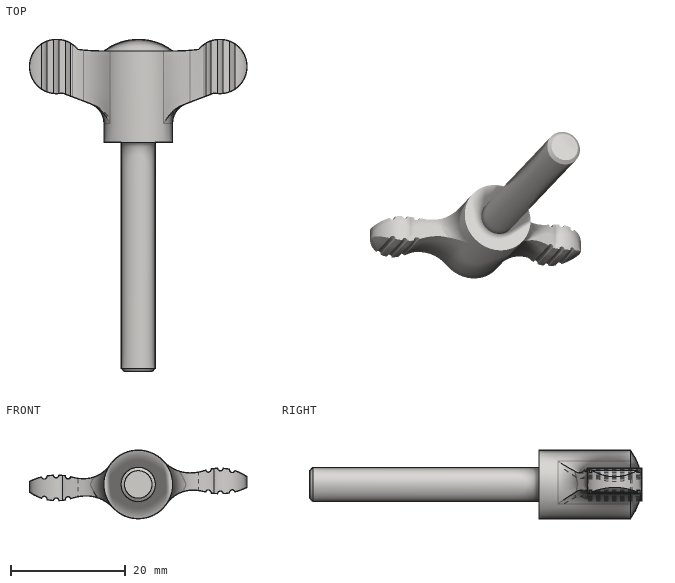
import cadquery as cq
import math

overall_length = 58.0
half_span = 18.995
hub_radius = 6.005
hub_height = 15.95
dome_rise = 2.05
pin_radius = 2.985
pin_chamfer = 0.6
top_y = hub_height + dome_rise
pin_length = overall_length - top_y

head_radius = 4.75
head_x = half_span - head_radius
head_y = top_y - head_radius
shoulder_x = 10.55
underside_end_x = 13.2
underside_angle = math.radians(20.5)
root_fillet_radius = 3.65
root_fillet_start_y = 3.3

upper_neck_z = 2.05
upper_flare_radius = 6.25
upper_blend_z = 2.405
upper_crest_z = 2.85
upper_tip_z = 1.35
lower_neck_z = -1.015
lower_flare_radius = 5.55
lower_blend_z = -1.3
lower_crest_z = -1.6
lower_tip_z = -0.5
blend_x = 11.5
crest_x = 13.7

groove_radius = 0.45
groove_first_x = 12.25
groove_pitch = 2.1
groove_count = 3


def head_edge_y(x, side):
    """Y of the round head's edge at x; side is +1 above its centre, -1 below."""
    return head_y + side * math.sqrt(head_radius**2 - (x - head_x) ** 2)


def arc_point(x, start, middle, end):
    """Point at x on the circle through three points, on the middle point's side."""
    (x1, z1), (x2, z2), (x3, z3) = start, middle, end
    s1, s2, s3 = x1**2 + z1**2, x2**2 + z2**2, x3**2 + z3**2
    d = 2 * (x1 * (z2 - z3) + x2 * (z3 - z1) + x3 * (z1 - z2))
    cx = (s1 * (z2 - z3) + s2 * (z3 - z1) + s3 * (z1 - z2)) / d
    cz = (s1 * (x3 - x2) + s2 * (x1 - x3) + s3 * (x2 - x1)) / d
    radius = math.hypot(x1 - cx, z1 - cz)
    rise = math.sqrt(radius**2 - (x - cx) ** 2)
    return (x, cz + math.copysign(rise, z2 - cz))


def flare_points(neck_z, flare_radius):
    """Start, middle and end of the arc tangent to the hub and to the neck face."""
    side = math.copysign(1, neck_z)
    center_z = neck_z + side * flare_radius
    center_distance = hub_radius + flare_radius
    center_x = math.sqrt(center_distance**2 - center_z**2)
    start = (
        center_x * hub_radius / center_distance,
        center_z * hub_radius / center_distance,
    )
    end = (center_x, neck_z)
    half_angle = math.atan2(center_x, abs(center_z)) / 2
    middle = (
        center_x - flare_radius * math.sin(half_angle),
        center_z - side * flare_radius * math.cos(half_angle),
    )
    return start, middle, end


def make_body():
    """Domed hub and chamfered pin, turned about Y."""
    return (
        cq.Workplane("XY")
        .moveTo(0, -pin_length)
        .lineTo(pin_radius - pin_chamfer, -pin_length)
        .lineTo(pin_radius, -pin_length + pin_chamfer)
        .lineTo(pin_radius, 0)
        .lineTo(hub_radius, 0)
        .lineTo(hub_radius, hub_height)
        .threePointArc(dome_middle(), (0, top_y))
        .close()
        .revolve(360, (0, 0, 0), (0, 1, 0))
    )


def dome_middle():
    """Point halfway along the dome's spherical arc."""
    sphere_radius = (hub_radius**2 + dome_rise**2) / (2 * dome_rise)
    half_angle = math.asin(hub_radius / sphere_radius) / 2
    return (
        sphere_radius * math.sin(half_angle),
        top_y - sphere_radius * (1 - math.cos(half_angle)),
    )


def make_thickness_profile():
    """Wing cross-section extruded along Y, with its grooves cut."""
    upper_start, upper_middle, upper_neck = flare_points(upper_neck_z, upper_flare_radius)
    lower_start, lower_middle, lower_neck = flare_points(lower_neck_z, lower_flare_radius)
    upper_blend = (blend_x, upper_blend_z)
    upper_crest = (crest_x, upper_crest_z)
    upper_tip = (half_span, upper_tip_z)
    lower_blend = (blend_x, lower_blend_z)
    lower_crest = (crest_x, lower_crest_z)
    lower_tip = (half_span, lower_tip_z)
    profile = (
        cq.Workplane("XZ", origin=(0, top_y, 0))
        .moveTo(0, 0)
        .lineTo(*upper_start)
        .threePointArc(upper_middle, upper_neck)
        .threePointArc(neck_blend_middle(upper_neck, upper_blend), upper_blend)
        .threePointArc(upper_crest, upper_tip)
        .lineTo(*lower_tip)
        .threePointArc(lower_crest, lower_blend)
        .threePointArc(neck_blend_middle(lower_neck, lower_blend), lower_neck)
        .threePointArc(lower_middle, lower_start)
        .close()
        .extrude(top_y)
    )
    groove_centers = []
    for index in range(groove_count):
        x = groove_first_x + index * groove_pitch
        groove_centers.append(arc_point(x, upper_blend, upper_crest, upper_tip))
        groove_centers.append(arc_point(x, lower_blend, lower_crest, lower_tip))
    grooves = (
        cq.Workplane("XZ", origin=(0, top_y, 0))
        .pushPoints(groove_centers)
        .circle(groove_radius)
        .extrude(top_y)
    )
    return profile.cut(grooves)


def neck_blend_middle(neck, blend):
    """Middle of the arc that leaves the neck parallel to X and ends at the blend."""
    run = blend[0] - neck[0]
    rise = blend[1] - neck[1]
    half_angle = math.atan2(rise, run)
    radius = (run**2 + rise**2) / (2 * rise)
    return (
        neck[0] + radius * math.sin(half_angle),
        neck[1] + radius * (1 - math.cos(half_angle)),
    )


def root_fillet_point(angle):
    """Point on the root fillet where its slope from the X axis is the given angle."""
    return (
        hub_radius + root_fillet_radius * (1 - math.sin(angle)),
        root_fillet_start_y + root_fillet_radius * math.cos(angle),
    )


def make_wing():
    """Wing on the +X side."""
    root_end = root_fillet_point(underside_angle)
    root_middle = root_fillet_point((math.pi / 2 + underside_angle) / 2)
    underside_end = (underside_end_x, head_edge_y(underside_end_x, -1))
    slope = (underside_end[1] - root_end[1]) / (underside_end[0] - root_end[0])
    underside_start_y = root_end[1] - slope * root_end[0]
    shoulder = (shoulder_x, head_edge_y(shoulder_x, 1))
    wing_height = 2 * hub_radius

    planform = (
        cq.Workplane("XY", origin=(0, 0, -hub_radius))
        .moveTo(0, underside_start_y)
        .lineTo(0, hub_height)
        .lineTo(hub_radius, hub_height)
        .tangentArcPoint(shoulder, relative=False)
        .threePointArc((half_span, head_y), underside_end)
        .close()
        .extrude(wing_height)
    )
    root = (
        cq.Workplane("XY")
        .moveTo(0, root_fillet_start_y)
        .lineTo(hub_radius, root_fillet_start_y)
        .threePointArc(root_middle, root_end)
        .lineTo(root_end[0], hub_height)
        .lineTo(0, hub_height)
        .close()
        .revolve(360, (0, 0, 0), (0, 1, 0))
    )
    thickness = make_thickness_profile()
    return thickness.intersect(planform).union(thickness.intersect(root))


wing = make_wing()
opposite_wing = wing.rotate((0, 0, 0), (0, 1, 0), 180)
result = make_body().union(wing).union(opposite_wing)